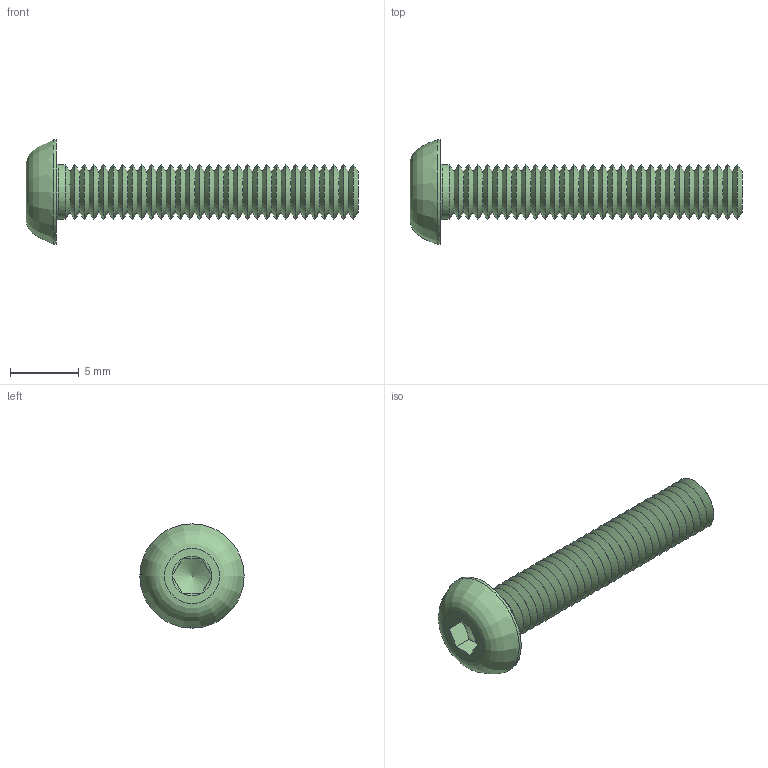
import cadquery as cq
import math

thread_diameter = 4.0
thread_pitch = 0.7
thread_depth = 0.5
shank_length = 22.0
full_grooves = 30

head_diameter = 7.6
head_height = 2.2
rim_width = 0.2
dome_end_slope = 0.29
crown_flat_diameter = 4.0
neck_fillet = 0.15

socket_across_flats = 2.5
socket_depth = 1.3
socket_cone_angle = 120.0
socket_chamfer_angle = 10.0

head_radius = head_diameter / 2
crest_radius = thread_diameter / 2
root_radius = crest_radius - thread_depth
crown_flat_radius = crown_flat_diameter / 2
socket_across_corners = socket_across_flats / math.cos(math.radians(30))
socket_corner_radius = socket_across_corners / 2

crown_x = -head_height
rim_x = -rim_width
thread_start_x = shank_length - (full_grooves + 0.5) * thread_pitch


def revolve_about_x(profile):
    """Close a profile drawn as (x, radius) and turn it fully about the X axis."""
    return profile.close().revolve(360, (0, 0, 0), (1, 0, 0))


def make_head():
    """Domed head: flat crown, curve leaving the crown along its plane, and a short cylindrical rim."""
    shoulder_radius = head_radius - dome_end_slope * (rim_x - crown_x)
    dome_control_points = [
        (crown_x, crown_flat_radius),
        (crown_x, shoulder_radius),
        (rim_x, head_radius),
    ]
    profile = (
        cq.Workplane("XY")
        .moveTo(crown_x, 0)
        .lineTo(crown_x, crown_flat_radius)
        .bezier(dome_control_points)
        .lineTo(0, head_radius)
        .lineTo(0, 0)
    )
    return revolve_about_x(profile)


def make_shank():
    """Shank with a concave neck fillet, a plain neck and ring-shaped V grooves for the thread."""
    arc_middle = neck_fillet * (1 - math.sqrt(0.5))
    profile = (
        cq.Workplane("XY")
        .moveTo(rim_x, 0)
        .lineTo(rim_x, crest_radius + neck_fillet)
        .lineTo(0, crest_radius + neck_fillet)
        .threePointArc((arc_middle, crest_radius + arc_middle), (neck_fillet, crest_radius))
        .lineTo(thread_start_x, crest_radius)
    )
    for groove in range(full_grooves):
        groove_x = thread_start_x + groove * thread_pitch
        profile = profile.lineTo(groove_x + thread_pitch / 2, root_radius)
        profile = profile.lineTo(groove_x + thread_pitch, crest_radius)
    profile = profile.lineTo(shank_length, root_radius).lineTo(shank_length, 0)
    return revolve_about_x(profile)


def make_socket():
    """Hexagonal socket with flats facing +Z and -Z, a conical bottom and a chamfered mouth."""
    cone_depth = socket_corner_radius / math.tan(math.radians(socket_cone_angle / 2))
    hexagon = (
        cq.Workplane("YZ", origin=(crown_x, 0, 0))
        .polygon(6, socket_across_corners)
        .extrude(socket_depth + cone_depth)
    )
    bottom_x = crown_x + socket_depth
    pointed_bore = revolve_about_x(
        cq.Workplane("XY")
        .moveTo(crown_x, 0)
        .lineTo(crown_x, socket_corner_radius)
        .lineTo(bottom_x, socket_corner_radius)
        .lineTo(bottom_x + cone_depth, 0)
    )
    mouth_depth = socket_corner_radius * math.tan(math.radians(socket_chamfer_angle))
    mouth_cone = revolve_about_x(
        cq.Workplane("XY")
        .moveTo(crown_x, 0)
        .lineTo(crown_x, socket_corner_radius)
        .lineTo(crown_x + mouth_depth, 0)
    )
    return hexagon.intersect(pointed_bore).union(mouth_cone)


result = make_head().union(make_shank()).cut(make_socket())